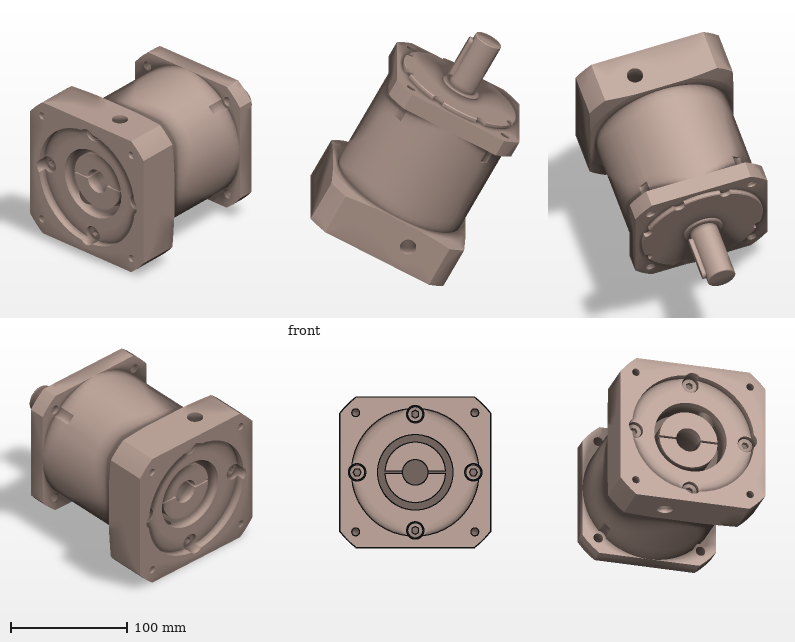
import math

import cadquery as cq


MOTOR_FLANGE_END = 40.0
FLANGE_THICKNESS = 15.0
FLANGE_START = 131.0
FLANGE_END = FLANGE_START + FLANGE_THICKNESS
PILOT_END = FLANGE_END + 4.0
COLLAR_END = PILOT_END + 2.0
SHAFT_END = 201.0

MOTOR_FLANGE_SIDE = 130.0
MOTOR_FLANGE_CORNER_DIA = 165.0
CONE_START_RADIUS = 68.8
CONE_ANGLE = 10.0
MOTOR_BOLT_CIRCLE = 145.0
MOTOR_HOLE_DIA = 6.8
MOTOR_HOLE_DEPTH = 20.0
DRILL_POINT_ANGLE = 118.0

RECESS_DIA = 110.0
RECESS_DEPTH = 8.0
CAVITY_DIA = 65.0
CAVITY_END = 35.0
RING_DIA = 52.0
RING_START = 13.5
BORE_DIA = 22.0
BORE_END = 50.0
SLIT_WIDTH = 2.0
ACCESS_HOLE_DIA = 14.0
ACCESS_HOLE_X = 18.5
ACCESS_HOLE_Y = 22.0

SCREW_RADIUS = 50.0
COUNTERBORE_DIA = 15.0
HEAD_DIA = 13.0
HEAD_START = 11.0
HEAD_HEIGHT = 8.0
SOCKET_ACROSS_FLATS = 6.0
SOCKET_DEPTH = 4.0

BODY_DIA = 120.0
FLANGE_SIDE = 120.0
FLANGE_CORNER_DIA = 150.0
FLANGE_BOLT_CIRCLE = 130.0
FLANGE_HOLE_DIA = 8.5
RELIEF_DIA = 14.0
RELIEF_LENGTH = 17.0

PILOT_DIA = 110.0
PILOT_CHAMFER = 0.8
NOTCH_DIA = 10.0
NOTCH_COUNT = 8
PLAIN_NOTCH = 3
COLLAR_DIA = 35.0
COLLAR_CHAMFER = 0.8
SHAFT_DIA = 25.0
SHAFT_CHAMFER = 0.5
KEY_WIDTH = 8.0
KEY_LENGTH = 40.0
KEY_END_GAP = 5.0
KEY_TOP = 15.5
KEY_HEIGHT = 7.0
KEY_CHAMFER = 0.4

DIAGONALS = [45.0, 135.0, 225.0, 315.0]
QUARTERS = [0.0, 90.0, 180.0, 270.0]


def section(start):
    """Sketch plane across the axis at a given Y; local x is X, extrusion goes toward +Y."""
    return cq.Workplane(cq.Plane(origin=(0, start, 0), xDir=(1, 0, 0), normal=(0, 1, 0)))


def disc(diameter, start, end, center=(0, 0)):
    """Cylinder along Y between two stations."""
    return section(start).center(*center).circle(diameter / 2).extrude(end - start)


def polar(radius, angle):
    """Sketch point at a given angle, measured from +X toward +Z (local y runs along -Z)."""
    turn = math.radians(angle)
    return (radius * math.cos(turn), -radius * math.sin(turn))


def corner_rounded_plate(side, corner_diameter, start, end):
    """Square plate whose corners are trimmed by a circle about the axis."""
    square = section(start).rect(side, side).extrude(end - start)
    return square.intersect(disc(corner_diameter, start, end))


def motor_flange():
    """Square motor flange with a shallow cone on its rear face."""
    plate = corner_rounded_plate(MOTOR_FLANGE_SIDE, MOTOR_FLANGE_CORNER_DIA, 0, MOTOR_FLANGE_END)
    corner_radius = MOTOR_FLANGE_CORNER_DIA / 2
    cone_height = (corner_radius - CONE_START_RADIUS) * math.tan(math.radians(CONE_ANGLE))
    envelope = (
        cq.Workplane("XY")
        .moveTo(0, 0)
        .lineTo(corner_radius, 0)
        .lineTo(corner_radius, MOTOR_FLANGE_END - cone_height)
        .lineTo(CONE_START_RADIUS, MOTOR_FLANGE_END)
        .lineTo(0, MOTOR_FLANGE_END)
        .close()
        .revolve(360, (0, 0), (0, 1))
    )
    return plate.intersect(envelope)


def motor_bolt_holes():
    """Blind tapping holes with drill points in the motor face."""
    radius = MOTOR_HOLE_DIA / 2
    point_length = radius / math.tan(math.radians(DRILL_POINT_ANGLE / 2))
    drill = (
        cq.Workplane("XY")
        .moveTo(0, 0)
        .lineTo(radius, 0)
        .lineTo(radius, MOTOR_HOLE_DEPTH)
        .lineTo(0, MOTOR_HOLE_DEPTH + point_length)
        .close()
        .revolve(360, (0, 0), (0, 1))
        .translate((MOTOR_BOLT_CIRCLE / 2, 0, 0))
    )
    holes = cq.Workplane("XY")
    for angle in DIAGONALS:
        holes = holes.add(drill.rotate((0, 0, 0), (0, 1, 0), angle))
    return holes.combine()


def clamp_cavity():
    """Pilot recess and the cavity behind it, leaving the slit clamp ring standing."""
    recess = disc(RECESS_DIA, 0, RECESS_DEPTH)
    cavity = disc(CAVITY_DIA, 0, CAVITY_END)
    ring = disc(RING_DIA, RING_START, CAVITY_END)
    bore = disc(BORE_DIA, RING_START, BORE_END)
    slit = section(RING_START).rect(RING_DIA, SLIT_WIDTH).extrude(CAVITY_END - RING_START)
    return recess.union(cavity).cut(ring).union(bore).union(slit)


def access_holes():
    """Two radial wrench holes into the cavity, half a turn apart."""
    depth = MOTOR_FLANGE_SIDE / 2 - math.sqrt((RING_DIA / 2) ** 2 - ACCESS_HOLE_X**2)
    hole = (
        cq.Workplane("XY", origin=(ACCESS_HOLE_X, ACCESS_HOLE_Y, MOTOR_FLANGE_SIDE / 2))
        .circle(ACCESS_HOLE_DIA / 2)
        .extrude(-depth)
        .cut(disc(RING_DIA, 0, MOTOR_FLANGE_END))
    )
    return hole.union(hole.rotate((0, 0, 0), (0, 1, 0), 180))


def screw_counterbore(angle):
    """Counterbore open to the motor face, running down past the screw head."""
    return disc(COUNTERBORE_DIA, 0, HEAD_START + HEAD_HEIGHT, polar(SCREW_RADIUS, angle))


def screw_head(angle):
    """Socket head, with two corners of its hexagon on the radial line."""
    center = polar(SCREW_RADIUS, angle)
    head = disc(HEAD_DIA, HEAD_START, HEAD_START + HEAD_HEIGHT, center)
    across_corners = SOCKET_ACROSS_FLATS / math.cos(math.radians(30))
    socket = (
        section(HEAD_START)
        .center(*center)
        .transformed(rotate=(0, 0, -angle))
        .polygon(6, across_corners)
        .extrude(SOCKET_DEPTH)
    )
    return head.cut(socket)


def output_flange():
    """Square output flange with four through holes."""
    plate = corner_rounded_plate(FLANGE_SIDE, FLANGE_CORNER_DIA, FLANGE_START, FLANGE_END)
    for angle in DIAGONALS:
        center = polar(FLANGE_BOLT_CIRCLE / 2, angle)
        plate = plate.cut(disc(FLANGE_HOLE_DIA, FLANGE_START, FLANGE_END, center))
    return plate


def body():
    """Round housing, relieved beside the output flange for the bolts."""
    housing = disc(BODY_DIA, MOTOR_FLANGE_END, FLANGE_START)
    for angle in DIAGONALS:
        center = polar(FLANGE_BOLT_CIRCLE / 2, angle)
        housing = housing.cut(disc(RELIEF_DIA, FLANGE_START - RELIEF_LENGTH, FLANGE_START, center))
    return housing


def output_pilot():
    """Pilot disc with edge notches midway between axes and diagonals; one place stays plain."""
    pilot = disc(PILOT_DIA, FLANGE_END, PILOT_END).faces(">Y").chamfer(PILOT_CHAMFER)
    pitch = 360.0 / NOTCH_COUNT
    for index in range(NOTCH_COUNT):
        if index == PLAIN_NOTCH:
            continue
        center = polar(PILOT_DIA / 2, (index + 0.5) * pitch)
        pilot = pilot.cut(disc(NOTCH_DIA, FLANGE_END, PILOT_END, center))
    return pilot


def output_shaft():
    """Seal collar and shaft with a round-ended key on its +X side."""
    collar = disc(COLLAR_DIA, PILOT_END, COLLAR_END).faces(">Y").chamfer(COLLAR_CHAMFER)
    shaft = disc(SHAFT_DIA, PILOT_END, SHAFT_END).faces(">Y").chamfer(SHAFT_CHAMFER)
    key_center = SHAFT_END - KEY_END_GAP - KEY_LENGTH / 2
    key = (
        cq.Workplane("YZ", origin=(KEY_TOP - KEY_HEIGHT, key_center, 0))
        .slot2D(KEY_LENGTH, KEY_WIDTH)
        .extrude(KEY_HEIGHT)
        .faces(">X")
        .chamfer(KEY_CHAMFER)
    )
    return collar.union(shaft).union(key)


result = motor_flange().union(body()).union(output_flange()).union(output_pilot()).union(output_shaft())
result = result.cut(clamp_cavity()).cut(motor_bolt_holes()).cut(access_holes())
for screw_angle in QUARTERS:
    result = result.cut(screw_counterbore(screw_angle)).union(screw_head(screw_angle))